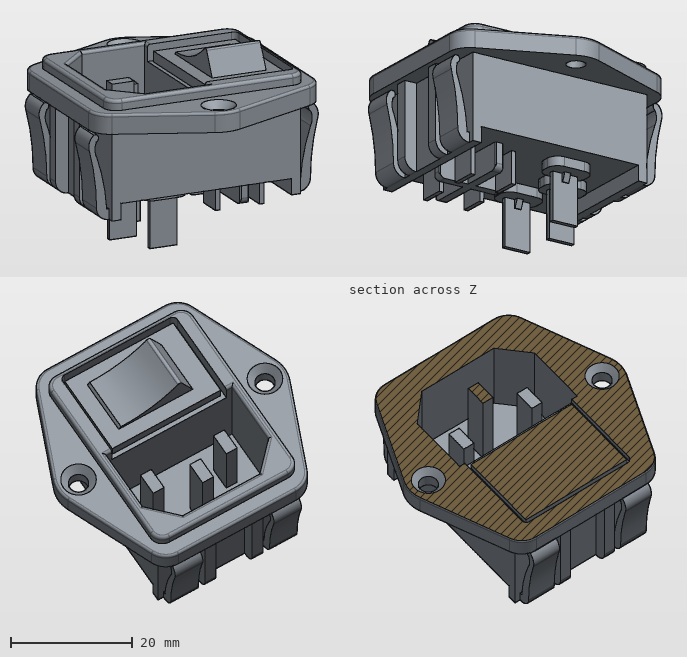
import cadquery as cq
import math


OVERLAP = 0.5

FLANGE_HALF_X = 21.89
FLANGE_HALF_Y = 20.46
FLANGE_THICKNESS = 3.44
FLANGE_EDGE_FILLET = 0.45
TIP_RADIUS = 6.0
CORNER_RADIUS = 4.0
CORNER_CENTER_X = 11.32

HOLE_X = 18.0
HOLE_DIAMETER = 3.3
SINK_DIAMETER = 5.84
SINK_ANGLE = 90.0

RIM_HALF_X = 13.72
RIM_HALF_Y = 17.83
RIM_TOP = 5.28
RIM_CORNER_RADIUS = 2.3
RIM_EDGE_FILLET = 0.6

HOUSING_HALF_X = 13.24
HOUSING_HALF_Y = 17.15
HOUSING_BOTTOM = -12.8
END_WALL_BOTTOM = -15.63
END_WALL_INNER_Y = 15.5

END_OUTER_Y = 19.45
END_BOTTOM_RADIUS = 2.2
RIB_INNER_X = 3.49
RIB_OUTER_X = 5.62
CLIP_INNER_X = 6.87
CLIP_OUTER_X = 12.2
CLIP_APEX_Y = 20.86
CLIP_APEX_Z = -2.65
CLIP_NOSE_RADIUS = 2.5
CLIP_TOP = -0.7
CLIP_NOSE_END = -3.4
CLIP_HOOK_TIP = (19.1, -1.3)
CLIP_HOOK_TOP_Y = 19.4
CLIP_THROAT = (19.45, -1.95)
CLIP_BULGE = (19.75, -3.2)
CLIP_LEG_TOP = (19.45, -4.5)
CLIP_LEG_MIDDLE = (18.35, -8.4)
CLIP_GAP_BOTTOM = -13.8
CLIP_GAP_WIDTH = 0.45

CAVITY_HALF_X = 12.15
CAVITY_TOP_Y = 0.82
CAVITY_BOTTOM_Y = -15.45
CAVITY_CHAMFER_X = 4.7
CAVITY_CHAMFER_Y = 4.9
CAVITY_FLOOR = -11.0
CAVITY_EDGE_FILLET = 0.52

PIN_PITCH_X = 7.05
LINE_PIN_Y = -5.33
GROUND_PIN_Y = -9.33
PIN_WIDTH = 2.1
PIN_LENGTH = 4.0
LINE_PIN_TOP = 0.6
GROUND_PIN_TOP = 3.65
BOSS_WIDTH = 5.0
BOSS_LENGTH = 8.0
BOSS_RADIUS = 2.0
BOSS_BOTTOM = -14.5
BLADE_THICKNESS = 0.8
BLADE_LENGTH = 4.9
BLADE_BOTTOM = -23.19
GUSSET_WIDTH = 1.2
GUSSET_BOTTOM = -16.05
GUSSET_TOP_DEPTH = 0.8
GUSSET_TIP_DEPTH = 0.15

RECESS_HALF_X = 11.05
RECESS_TOP_Y = 17.03
RECESS_CORNER_RADIUS = 0.9
RECESS_FLOOR = 2.35
BLOCK_HALF_X = 10.46
BLOCK_TOP_Y = 16.48
BLOCK_BOTTOM_Y = 1.64
BLOCK_TOP = 4.2
ROCKER_TOP_Y = 14.0
ROCKER_BOTTOM_Y = 4.2
ROCKER_LEFT_X = -7.65
ROCKER_RIGHT_X = 6.65
ROCKER_LIP = 0.45
ROCKER_TOP = 8.58
ROCKER_SWEEP_MIDDLE = (-0.1, 6.1)
ROCKER_SWEEP_END = (3.77, 8.46)
ROCKER_CREST_X = 4.15
ROCKER_FRONT_TOP = (4.5, 8.35)

SWITCH_CENTER_Y = 9.03
DIVIDER_HALF_X = 8.9
DIVIDER_HALF_Y = 6.43
DIVIDER_THICKNESS = 1.6
DIVIDER_BEVEL = 0.2
DIVIDER_BOTTOM = -17.63
DIVIDER_CORNER_RADIUS = 1.1
TERMINAL_X = 4.7
TERMINAL_WIDTH = 4.7
TERMINAL_THICKNESS = 0.8
TERMINAL_OFFSET_Y = 4.0
TERMINAL_BOTTOM = -18.63


def block(x_range, y_range, z_range):
    """Axis-aligned box between the given limits."""
    size = [high - low for low, high in (x_range, y_range, z_range)]
    corner = (x_range[0], y_range[0], z_range[0])
    return cq.Workplane("XY").box(*size, centered=False).translate(corner)


def on_both_ends(body):
    """The body together with its mirror image across the XZ plane."""
    return body.union(body.mirror("XZ"))


def flange_outline():
    """Closed flange outline: tip and corner circles joined by their tangents."""
    tip_x = FLANGE_HALF_X - TIP_RADIUS
    corner_y = FLANGE_HALF_Y - CORNER_RADIUS
    run = tip_x - CORNER_CENTER_X
    distance = math.hypot(run, corner_y)
    angle = math.atan2(run, corner_y) + math.asin((TIP_RADIUS - CORNER_RADIUS) / distance)

    def on_corner(a):
        x = CORNER_CENTER_X + CORNER_RADIUS * math.cos(a)
        y = corner_y + CORNER_RADIUS * math.sin(a)
        return x, y

    tip_start_x = tip_x + TIP_RADIUS * math.cos(angle)
    tip_start_y = TIP_RADIUS * math.sin(angle)
    side_x, side_y = on_corner(angle)
    middle_x, middle_y = on_corner((angle + math.pi / 2) / 2)
    return (
        cq.Workplane("XY")
        .moveTo(tip_start_x, -tip_start_y)
        .threePointArc((FLANGE_HALF_X, 0), (tip_start_x, tip_start_y))
        .lineTo(side_x, side_y)
        .threePointArc((middle_x, middle_y), (CORNER_CENTER_X, FLANGE_HALF_Y))
        .lineTo(-CORNER_CENTER_X, FLANGE_HALF_Y)
        .threePointArc((-middle_x, middle_y), (-side_x, side_y))
        .lineTo(-tip_start_x, tip_start_y)
        .threePointArc((-FLANGE_HALF_X, 0), (-tip_start_x, -tip_start_y))
        .lineTo(-side_x, -side_y)
        .threePointArc((-middle_x, -middle_y), (-CORNER_CENTER_X, -FLANGE_HALF_Y))
        .lineTo(CORNER_CENTER_X, -FLANGE_HALF_Y)
        .threePointArc((middle_x, -middle_y), (side_x, -side_y))
        .close()
    )


def make_flange():
    """Flange plate with a rounded top edge and two countersunk holes."""
    plate = flange_outline().extrude(FLANGE_THICKNESS)
    plate = plate.faces(">Z").edges().fillet(FLANGE_EDGE_FILLET)
    return (
        plate.faces(">Z")
        .workplane(origin=(0, 0, FLANGE_THICKNESS))
        .pushPoints([(-HOLE_X, 0), (HOLE_X, 0)])
        .cskHole(HOLE_DIAMETER, SINK_DIAMETER, SINK_ANGLE)
    )


def make_rim():
    """Raised rim with rounded corners and a rounded top edge."""
    rim = block((-RIM_HALF_X, RIM_HALF_X), (-RIM_HALF_Y, RIM_HALF_Y), (OVERLAP, RIM_TOP))
    rim = rim.edges("|Z").fillet(RIM_CORNER_RADIUS)
    return rim.faces(">Z").edges().fillet(RIM_EDGE_FILLET)


def make_housing():
    """Housing box with a deeper wall at each Y end."""
    width = (-HOUSING_HALF_X, HOUSING_HALF_X)
    box = block(width, (-HOUSING_HALF_Y, HOUSING_HALF_Y), (HOUSING_BOTTOM, OVERLAP))
    wall = block(width, (END_WALL_INNER_Y, HOUSING_HALF_Y), (END_WALL_BOTTOM, OVERLAP))
    return box.union(on_both_ends(wall))


def make_ribs():
    """Two ribs on each end wall, rounded at the bottom outer edge."""
    ribs = cq.Workplane("XY")
    for left, right in ((-RIB_OUTER_X, -RIB_INNER_X), (RIB_INNER_X, RIB_OUTER_X)):
        rib = block((left, right), (END_WALL_INNER_Y, END_OUTER_Y), (END_WALL_BOTTOM, OVERLAP))
        ribs = ribs.union(rib.edges(">Y and <Z").fillet(END_BOTTOM_RADIUS))
    return on_both_ends(ribs)


def clip_profile():
    """Closed YZ outline of a clip: a sprung leg with a hooked nose."""
    nose_center_y = CLIP_APEX_Y - CLIP_NOSE_RADIUS

    def nose_point(z):
        reach = math.sqrt(CLIP_NOSE_RADIUS**2 - (z - CLIP_APEX_Z) ** 2)
        return nose_center_y + reach, z

    round_start_z = END_WALL_BOTTOM + END_BOTTOM_RADIUS
    nose_end = nose_point(CLIP_NOSE_END)
    leg_height = CLIP_NOSE_END - round_start_z
    quarter_lean = (nose_end[0] - END_OUTER_Y) / 4
    leg_middle = (END_OUTER_Y + quarter_lean, round_start_z + leg_height / 2)
    round_center_y = END_OUTER_Y - END_BOTTOM_RADIUS
    diagonal = END_BOTTOM_RADIUS * math.sqrt(0.5)
    gap_y = HOUSING_HALF_Y + CLIP_GAP_WIDTH
    return (
        cq.Workplane("YZ")
        .moveTo(END_WALL_INNER_Y, END_WALL_BOTTOM)
        .lineTo(round_center_y, END_WALL_BOTTOM)
        .threePointArc(
            (round_center_y + diagonal, round_start_z - diagonal), (END_OUTER_Y, round_start_z)
        )
        .threePointArc(leg_middle, nose_end)
        .threePointArc((CLIP_APEX_Y, CLIP_APEX_Z), nose_point(CLIP_TOP))
        .lineTo(CLIP_HOOK_TOP_Y, CLIP_TOP)
        .threePointArc(CLIP_HOOK_TIP, CLIP_THROAT)
        .threePointArc(CLIP_BULGE, CLIP_LEG_TOP)
        .threePointArc(CLIP_LEG_MIDDLE, (gap_y, CLIP_GAP_BOTTOM))
        .lineTo(END_WALL_INNER_Y, CLIP_GAP_BOTTOM)
        .close()
    )


def make_clips():
    """Two snap-in clips on each end wall."""
    clip = clip_profile().extrude(CLIP_OUTER_X - CLIP_INNER_X)
    right_clip = clip.translate((CLIP_INNER_X, 0, 0))
    left_clip = clip.translate((-CLIP_OUTER_X, 0, 0))
    return on_both_ends(right_clip.union(left_clip))


def cut_cavity(body):
    """Cut the inlet cavity with its two slanted corners and round its mouth."""
    slant_x = CAVITY_HALF_X - CAVITY_CHAMFER_X
    slant_y = CAVITY_BOTTOM_Y + CAVITY_CHAMFER_Y
    outline = [
        (-CAVITY_HALF_X, CAVITY_TOP_Y),
        (CAVITY_HALF_X, CAVITY_TOP_Y),
        (CAVITY_HALF_X, slant_y),
        (slant_x, CAVITY_BOTTOM_Y),
        (-slant_x, CAVITY_BOTTOM_Y),
        (-CAVITY_HALF_X, slant_y),
    ]
    depth = RIM_TOP - CAVITY_FLOOR
    floor_plane = cq.Workplane("XY", origin=(0, 0, CAVITY_FLOOR))
    body = body.cut(floor_plane.polyline(outline).close().extrude(depth))
    mouth = body.faces(">Z").wires(cq.selectors.AreaNthSelector(0))
    return mouth.edges().fillet(CAVITY_EDGE_FILLET)


def cut_recess(body):
    """Cut the switch recess, open toward the inlet cavity."""
    recess = block(
        (-RECESS_HALF_X, RECESS_HALF_X),
        (CAVITY_TOP_Y - OVERLAP, RECESS_TOP_Y),
        (RECESS_FLOOR, RIM_TOP),
    )
    return body.cut(recess.edges("|Z and >Y").fillet(RECESS_CORNER_RADIUS))


def make_contact(x, y, pin_top):
    """One inlet contact: pin, rear boss, rear blade and the gusset beside it."""
    pin = cq.Workplane("XY").rect(PIN_WIDTH, PIN_LENGTH).extrude(pin_top - HOUSING_BOTTOM)
    pin = pin.translate((0, 0, HOUSING_BOTTOM))

    boss_height = HOUSING_BOTTOM + OVERLAP - BOSS_BOTTOM
    boss = cq.Workplane("XY").rect(BOSS_WIDTH, BOSS_LENGTH).extrude(boss_height)
    boss = boss.edges("|Z").fillet(BOSS_RADIUS).translate((0, 0, BOSS_BOTTOM))

    blade_right = PIN_WIDTH / 2
    blade_left = blade_right - BLADE_THICKNESS
    blade = block(
        (blade_left, blade_right),
        (-BLADE_LENGTH / 2, BLADE_LENGTH / 2),
        (BLADE_BOTTOM, HOUSING_BOTTOM),
    )

    gusset_outline = [
        (blade_right, BOSS_BOTTOM),
        (blade_left - GUSSET_TOP_DEPTH, BOSS_BOTTOM),
        (blade_left - GUSSET_TIP_DEPTH, GUSSET_BOTTOM),
        (blade_right, GUSSET_BOTTOM),
    ]
    gusset = cq.Workplane("XZ").polyline(gusset_outline).close()
    gusset = gusset.extrude(GUSSET_WIDTH / 2, both=True)
    return pin.union(boss).union(blade).union(gusset).translate((x, y, 0))


def make_rocker_switch():
    """Switch block in the recess with the tilted rocker on top."""
    base = block(
        (-BLOCK_HALF_X, BLOCK_HALF_X),
        (BLOCK_BOTTOM_Y, BLOCK_TOP_Y),
        (RECESS_FLOOR - OVERLAP, BLOCK_TOP),
    )
    rocker = (
        cq.Workplane("XZ", origin=(0, ROCKER_TOP_Y, 0))
        .moveTo(ROCKER_LEFT_X, BLOCK_TOP - OVERLAP)
        .lineTo(ROCKER_LEFT_X, BLOCK_TOP)
        .lineTo(ROCKER_LEFT_X + ROCKER_LIP, BLOCK_TOP + ROCKER_LIP)
        .threePointArc(ROCKER_SWEEP_MIDDLE, ROCKER_SWEEP_END)
        .threePointArc((ROCKER_CREST_X, ROCKER_TOP), ROCKER_FRONT_TOP)
        .lineTo(ROCKER_RIGHT_X, BLOCK_TOP)
        .lineTo(ROCKER_RIGHT_X, BLOCK_TOP - OVERLAP)
        .close()
        .extrude(ROCKER_TOP_Y - ROCKER_BOTTOM_Y)
    )
    return base.union(rocker)


def divider_plate(half_length):
    """Upright plate along X with rounded bottom corners and beveled upright end edges."""
    half_thickness = DIVIDER_THICKNESS / 2
    height_range = (DIVIDER_BOTTOM, HOUSING_BOTTOM + OVERLAP)
    plate = block(
        (-half_length, half_length), (-half_thickness, half_thickness), height_range
    )
    rounded = plate.edges("|Y and <Z").fillet(DIVIDER_CORNER_RADIUS)
    return rounded.intersect(plate.edges("|Z").chamfer(DIVIDER_BEVEL))


def make_switch_rear():
    """Crossed divider plates with one switch terminal in each quarter."""
    across = divider_plate(DIVIDER_HALF_X)
    along = divider_plate(DIVIDER_HALF_Y).rotate((0, 0, 0), (0, 0, 1), 90)
    terminals = (
        cq.Workplane("XY", origin=(0, 0, TERMINAL_BOTTOM))
        .rarray(2 * TERMINAL_X, 2 * TERMINAL_OFFSET_Y, 2, 2)
        .rect(TERMINAL_WIDTH, TERMINAL_THICKNESS)
        .extrude(HOUSING_BOTTOM + OVERLAP - TERMINAL_BOTTOM)
    )
    return across.union(along).union(terminals).translate((0, SWITCH_CENTER_Y, 0))


shell = make_flange().union(make_rim()).union(make_housing())
shell = cut_recess(cut_cavity(shell))
result = shell.union(make_ribs()).union(make_clips())
result = result.union(make_rocker_switch()).union(make_switch_rear())
for contact_x, contact_y, contact_top in (
    (-PIN_PITCH_X, LINE_PIN_Y, LINE_PIN_TOP),
    (0, GROUND_PIN_Y, GROUND_PIN_TOP),
    (PIN_PITCH_X, LINE_PIN_Y, LINE_PIN_TOP),
):
    result = result.union(make_contact(contact_x, contact_y, contact_top))